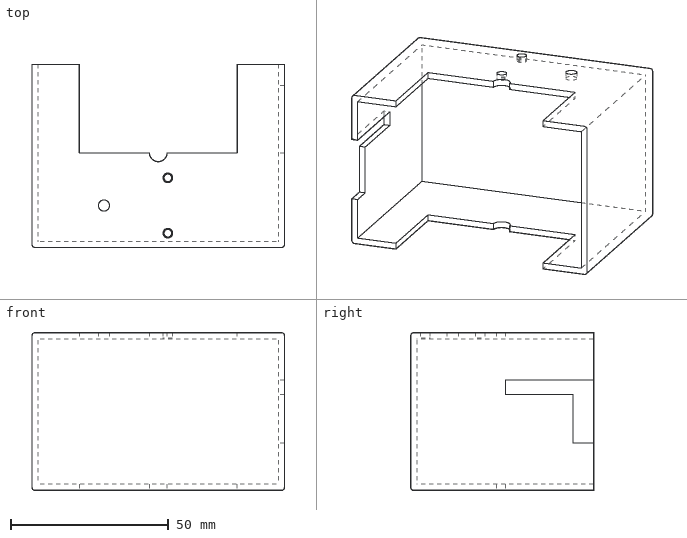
import cadquery as cq

length = 80.0
depth = 58.0
height = 50.0
wall = 2.0
edge_radius = wall / 2

cutout_width = 50.0
cutout_depth = 28.0
notch_diameter = 5.5

hole_row_y = -15.7
clearance_hole_x = -17.2
clearance_hole_diameter = 3.5
screw_x = 3.0
screw_spacing = 17.5
screw_diameter = 3.0
pilot_diameter = 2.4
screw_depth = 1.8

opening_height = 20.0
ledge_z = 5.4
ledge_setback = 6.6

back_y = depth / 2
roof_z = height / 2
cutout_y = back_y - cutout_depth
opening_half_height = opening_height / 2
ledge_end_y = back_y - ledge_setback


def make_shell():
    """Rounded box hollowed out from the back, with square rear edges."""
    box = cq.Workplane("XY").box(length, depth, height)
    box = box.edges("|Y or <Y").fillet(edge_radius)
    cavity = cq.Workplane("XY").box(length - 2 * wall, depth, height - 2 * wall)
    return box.cut(cavity.translate((0, wall, 0)))


def vertical_cylinder(x, y, diameter, top_z, bottom_z):
    base = cq.Workplane("XY", origin=(x, y, bottom_z))
    return base.circle(diameter / 2).extrude(top_z - bottom_z)


def make_rear_cutout():
    """Rectangular gap through roof and floor, with a half-round notch in its front edge."""
    gap = cq.Workplane("XY").box(cutout_width, cutout_depth, height)
    gap = gap.translate((0, back_y - cutout_depth / 2, 0))
    return gap.union(vertical_cylinder(0, cutout_y, notch_diameter, roof_z, -roof_z))


def make_screw_hole(y):
    """Stepped hole through the roof: screw size above, pilot size below."""
    upper = vertical_cylinder(screw_x, y, screw_diameter, roof_z, roof_z - screw_depth)
    return upper.union(vertical_cylinder(screw_x, y, pilot_diameter, roof_z, roof_z - wall))


def make_side_opening():
    """Opening in the +X wall that leaves a low ledge in front of the rear gap."""
    outline = [
        (cutout_y, opening_half_height),
        (back_y, opening_half_height),
        (back_y, -opening_half_height),
        (ledge_end_y, -opening_half_height),
        (ledge_end_y, ledge_z),
        (cutout_y, ledge_z),
    ]
    inner_face = cq.Workplane("YZ", origin=(length / 2 - wall, 0, 0))
    return inner_face.polyline(outline).close().extrude(wall)


result = make_shell().cut(make_rear_cutout()).cut(make_side_opening())
result = result.cut(
    vertical_cylinder(clearance_hole_x, hole_row_y, clearance_hole_diameter, roof_z, roof_z - wall)
)
for side in (-1, 1):
    result = result.cut(make_screw_hole(hole_row_y + side * screw_spacing / 2))